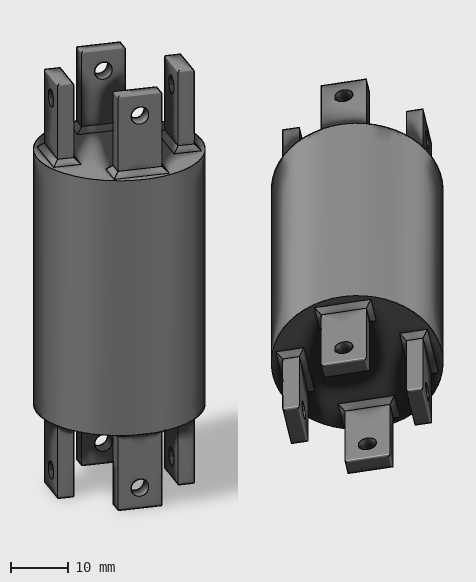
import cadquery as cq

total_length = 78.0
body_diameter = 30.0
body_length = 48.0

blade_count = 4
blade_length = (total_length - body_length) / 2
blade_width = 8.0
blade_thickness = 3.0
blade_centre_radius = 11.0
tip_fillet = 0.4

foot_size = 1.0

hole_diameter = 3.2
hole_tip_distance = 4.0


def make_blade():
    """Upward blade at the +Y side of the upper body face."""
    base = cq.Workplane("XY", origin=(0, blade_centre_radius, body_length / 2))
    blade = base.rect(blade_width, blade_thickness).extrude(blade_length)
    blade = blade.faces(">Z").fillet(tip_fillet)

    foot = (
        base.rect(blade_width + 2 * foot_size, blade_thickness + 2 * foot_size)
        .workplane(offset=foot_size)
        .rect(blade_width, blade_thickness)
        .loft(ruled=True)
    )

    outer_face = blade_centre_radius + blade_thickness / 2
    hole_height = total_length / 2 - hole_tip_distance
    hole = (
        cq.Workplane("XZ", origin=(0, outer_face, hole_height))
        .circle(hole_diameter / 2)
        .extrude(blade_thickness)
    )
    return blade.union(foot).cut(hole)


def make_body():
    """Plain cylinder between the two sets of blades."""
    lower_face = cq.Workplane("XY", origin=(0, 0, -body_length / 2))
    return lower_face.circle(body_diameter / 2).extrude(body_length)


result = make_body()

upper_blade = make_blade()
lower_blade = upper_blade.mirror("XY")
for index in range(blade_count):
    angle = index * 360 / blade_count
    for blade in (upper_blade, lower_blade):
        result = result.union(blade.rotate((0, 0, 0), (0, 0, 1), angle))